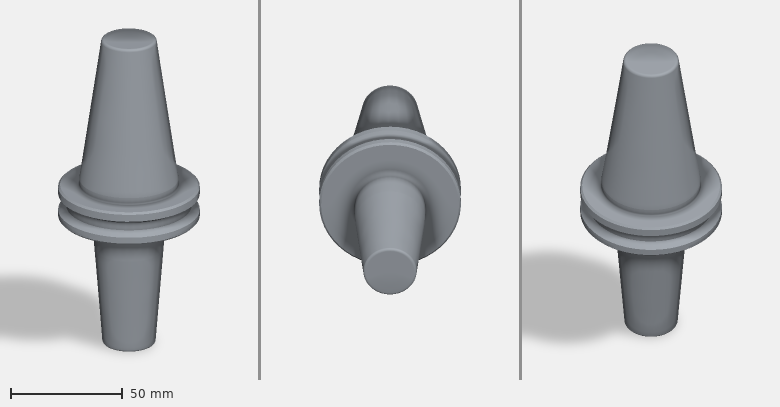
import cadquery as cq
import math

TOTAL_LENGTH = 148.2
SHANK_LENGTH = 68.2
NOSE_END = SHANK_LENGTH - TOTAL_LENGTH

GAUGE_RADIUS = 22.2
RADIUS_SLOPE = 7 / 24 / 2
TIP_FILLET = 1.3
COLLAR_LENGTH = 3.1
COLLAR_FILLET = 0.7

FLANGE_RADIUS = 31.7
FLANGE_WIDTH = 15.9
FLANGE_CHAMFER = 0.9
GROOVE_CENTER_DROP = 8.2
GROOVE_DEPTH = 3.5
GROOVE_FLOOR_WIDTH = 3.7
GROOVE_WALL_ANGLE = 30.0

NECK_RADIUS = 15.9
NECK_LENGTH = 5.3
NECK_FILLET = 2.2
BLEND_LENGTH = 9.8
NOSE_ANGLE = math.radians(4.5)
NOSE_FILLET = 1.2

flange_top = -COLLAR_LENGTH
flange_bottom = flange_top - FLANGE_WIDTH
groove_middle = flange_top - GROOVE_CENTER_DROP


def make_shank():
    """Tapered shank with a rounded tip and a short cylindrical collar."""
    tip_radius = GAUGE_RADIUS - RADIUS_SLOPE * SHANK_LENGTH
    profile = (
        cq.Workplane("XZ")
        .moveTo(0, flange_top)
        .lineTo(GAUGE_RADIUS + COLLAR_FILLET, flange_top)
        .radiusArc((GAUGE_RADIUS, flange_top + COLLAR_FILLET), COLLAR_FILLET)
        .lineTo(GAUGE_RADIUS, 0)
        .lineTo(tip_radius, SHANK_LENGTH)
        .lineTo(0, SHANK_LENGTH)
        .close()
    )
    shank = profile.revolve(360, (0, 0), (0, 1))
    return shank.faces(">Z").edges().fillet(TIP_FILLET)


def make_flange():
    """Chamfered disc with a trapezoidal groove around its rim."""
    disc = (
        cq.Workplane("XY", origin=(0, 0, flange_bottom))
        .circle(FLANGE_RADIUS)
        .extrude(FLANGE_WIDTH)
        .edges()
        .chamfer(FLANGE_CHAMFER)
    )
    floor_half = GROOVE_FLOOR_WIDTH / 2
    mouth_half = floor_half + GROOVE_DEPTH * math.tan(math.radians(GROOVE_WALL_ANGLE))
    floor_radius = FLANGE_RADIUS - GROOVE_DEPTH
    groove = (
        cq.Workplane("XZ")
        .moveTo(floor_radius, groove_middle - floor_half)
        .lineTo(FLANGE_RADIUS, groove_middle - mouth_half)
        .lineTo(FLANGE_RADIUS, groove_middle + mouth_half)
        .lineTo(floor_radius, groove_middle + floor_half)
        .close()
        .revolve(360, (0, 0), (0, 1))
    )
    return disc.cut(groove)


def make_nose():
    """Neck flaring into the flange, blended into a cone with a rounded end."""
    blend_top = flange_bottom - NECK_LENGTH
    blend_bottom = blend_top - BLEND_LENGTH
    blend_radius = BLEND_LENGTH / math.sin(NOSE_ANGLE)
    cone_radius = NECK_RADIUS - blend_radius * (1 - math.cos(NOSE_ANGLE))
    middle_angle = NOSE_ANGLE / 2
    blend_middle = (
        NECK_RADIUS - blend_radius * (1 - math.cos(middle_angle)),
        blend_top - blend_radius * math.sin(middle_angle),
    )
    end_radius = cone_radius - (blend_bottom - NOSE_END) * math.tan(NOSE_ANGLE)
    profile = (
        cq.Workplane("XZ")
        .moveTo(0, flange_bottom)
        .lineTo(NECK_RADIUS + NECK_FILLET, flange_bottom)
        .radiusArc((NECK_RADIUS, flange_bottom - NECK_FILLET), -NECK_FILLET)
        .lineTo(NECK_RADIUS, blend_top)
        .threePointArc(blend_middle, (cone_radius, blend_bottom))
        .lineTo(end_radius, NOSE_END)
        .lineTo(0, NOSE_END)
        .close()
    )
    nose = profile.revolve(360, (0, 0), (0, 1))
    return nose.faces("<Z").edges().fillet(NOSE_FILLET)


result = make_shank().union(make_flange()).union(make_nose())